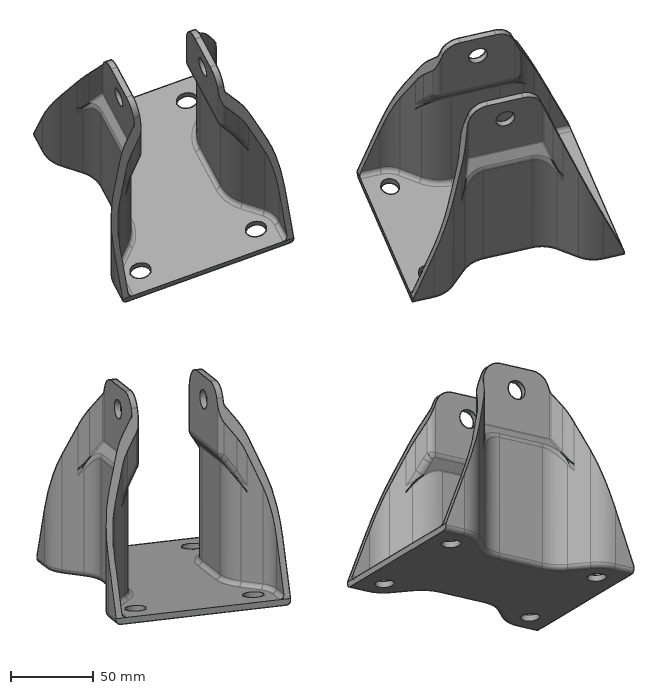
import cadquery as cq
import math

length = 135.0
width = 114.0
height = 130.0
sheet = 4.0

tight_bend = 1.0
loose_bend = tight_bend + sheet
floor_bend = 3.0

waist_y = 35.0
waist_corner_x = 23.8
flare_bend = 20.0
shoulder_corner_x = waist_corner_x + width / 2 - waist_y

tab_y = 30.0
tab_corner_x = 24.2
tab_flare_angle = 63.0
tab_flare_slope = math.tan(math.radians(tab_flare_angle))
tab_flare_bend = flare_bend + sheet
flare_offset = waist_y - waist_corner_x
tab_flare_x = (flare_offset - tab_y + tab_flare_slope * tab_corner_x) / (tab_flare_slope - 1)
tab_flare_y = tab_flare_x + flare_offset
tab_top_round = 12.0
tab_top_corner_x = 19.7
tab_hole_diameter = 12.0
tab_hole_z = 115.0

ledge_top_z = 87.6
ledge_angle = 55.0
ledge_normal = cq.Vector(0, math.sin(math.radians(ledge_angle)), math.cos(math.radians(ledge_angle)))

floor_hole_x = 52.2
floor_hole_y = 38.5
floor_hole_width = 11.2
floor_hole_length = 13.2

margin = 13.5
reach = 1.4 * length


def rounded_outline(corners):
    """Closed outline through (x, y, radius) corners; radius 0 keeps a corner sharp."""
    outline = None
    for i, (x, y, radius) in enumerate(corners):
        here = cq.Vector(x, y)
        to_last = (cq.Vector(*corners[i - 1][:2]) - here).normalized()
        to_next = (cq.Vector(*corners[(i + 1) % len(corners)][:2]) - here).normalized()
        half_angle = to_last.getAngle(to_next) / 2
        setback = radius / math.tan(half_angle)
        start = here + to_last * setback
        outline = outline.lineTo(start.x, start.y) if outline else cq.Workplane().moveTo(start.x, start.y)
        if radius:
            middle = here + (to_last + to_next).normalized() * (radius / math.sin(half_angle) - radius)
            end = here + to_next * setback
            outline = outline.threePointArc((middle.x, middle.y), (end.x, end.y))
    return outline.close()


def prism_behind_wall(wall_corners, inset):
    """Upright prism behind the +Y wall face, symmetric in X, moved inward by inset."""
    end_x = length / 2 + margin
    right = wall_corners + [
        (shoulder_corner_x, width / 2, flare_bend),
        (end_x, width / 2, 0),
        (end_x, -margin, 0),
    ]
    left = [(-x, y, radius) for x, y, radius in reversed(right)]
    outline = rounded_outline(right + left)
    if inset:
        outline = outline.offset2D(-inset)
    return outline.extrude(height + margin)


def space_above_ledge(inset):
    """Everything above the sloping ledge, with the ledge moved inward by inset."""
    angle = math.radians(ledge_angle)
    edge_z = ledge_top_z - inset * math.tan((math.pi / 2 - angle) / 2)
    plane = cq.Plane((0, tab_y - inset, edge_z), (1, 0, 0), ledge_normal)
    return cq.Workplane(plane).rect(reach, reach).extrude(reach)


def round_ledge(body, radius):
    """Round the long ledge edge of a body, through all the edges that run on smoothly from it."""
    return body.edges(cq.NearestToPointSelector((0, tab_y, ledge_top_z))).fillet(radius)


def wall_body(inset, waist_round, tab_round):
    """Solid behind the wall face: full width below the ledge, set in to the tab above it."""
    waist = prism_behind_wall([(waist_corner_x, waist_y, flare_bend)], inset)
    tab = prism_behind_wall(
        [(tab_corner_x, tab_y, tight_bend), (tab_flare_x, tab_flare_y, tab_flare_bend)], inset
    )
    above = space_above_ledge(inset)

    recess = round_ledge(above.cut(tab), tab_round)

    below = waist.cut(above)
    sliver = below.cut(round_ledge(below, waist_round)).cut(tab)

    return waist.cut(recess).cut(sliver)


def side_trim():
    """Block seen along Y: straight floor edge, sloping sides and a rounded tab top."""
    right = [
        (length / 2, 0, 0),
        (length / 2, sheet, 0),
        (tab_top_corner_x, height, tab_top_round),
    ]
    left = [(-x, z, radius) for x, z, radius in reversed(right)]
    outline = rounded_outline(right + left)
    return outline.extrude(-width).rotate((0, 0, 0), (1, 0, 0), 90)


def half_bracket():
    """The +Y wall with its half of the floor."""
    body = wall_body(0, loose_bend, tight_bend)
    body = body.faces("<Z").edges().fillet(floor_bend)

    cavity = wall_body(sheet, tight_bend, loose_bend)
    floor = cq.Workplane().rect(reach, reach).extrude(sheet)
    cavity = cavity.cut(floor).faces("<Z").edges().fillet(floor_bend)

    return body.cut(cavity).intersect(side_trim())


def tab_holes():
    """One cross hole in line through both tabs."""
    return cq.Workplane("XZ").center(0, tab_hole_z).circle(tab_hole_diameter / 2).extrude(width, both=True)


def floor_holes():
    """Four oval holes through the floor, one near each corner."""
    places = cq.Workplane().rect(2 * floor_hole_x, 2 * floor_hole_y, forConstruction=True).vertices()
    return places.ellipse(floor_hole_width / 2, floor_hole_length / 2).extrude(sheet)


half = half_bracket()
result = half.union(half.mirror("XZ")).cut(tab_holes()).cut(floor_holes())